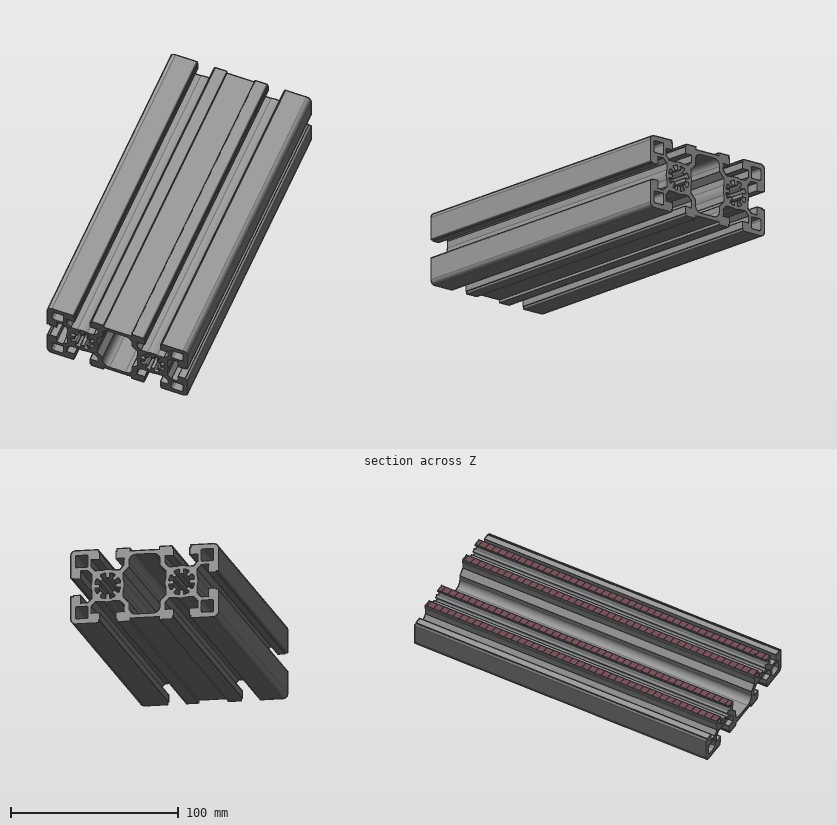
import cadquery as cq
import math

length = 200.0
height = 45.0
width = 2 * height
corner_radius = 3.0

half_cell = height / 2
cell_centers = (-half_cell, half_cell)

core_radius = 10.0
core_bulge = 0.5

mouth_half_width = 5.0
mouth_step_width = 0.5
mouth_step_depth = 1.5
mouth_radius = 0.5
lip_depth = 6.0
slot_half_width = 10.0
slot_floor = core_radius - core_bulge
strut_offset = 2.2

bore_radius = 8.0
tooth_tip_radius = 5.0
tooth_width = 2.2
tooth_tip_rounding = 0.2
tooth_root_rounding = 0.5
tooth_root_offset = 4.5

pocket_wall = 3.0
pocket_web = 2.0
pocket_size = half_cell - slot_half_width - pocket_wall - pocket_web
pocket_radius = 1.0

chamber_web = 3.0
chamber_half_width = half_cell - slot_half_width - chamber_web
chamber_half_height = 18.5
chamber_radius = 4.5
recess_half_width = 9.0
recess_depth = 1.8


def extrude_polygon(points):
    """Full-length prism with the given X-Z section, centred on Y = 0."""
    return cq.Workplane("XZ").polyline(points).close().extrude(length / 2, both=True)


def bar(size_x, size_z):
    return cq.Workplane("XY").box(size_x, length, size_z)


def rod(radius):
    return cq.Workplane("XZ").circle(radius).extrude(length / 2, both=True)


def turned(body, angle):
    """Body turned about the Y axis through the origin."""
    return body.rotate((0, 0, 0), (0, 1, 0), angle)


def make_slot():
    """T-slot opening toward +Z of a cell centred on the origin."""
    lip_bottom = half_cell - lip_depth
    step_half_width = mouth_half_width + mouth_step_width
    step_bottom = half_cell - mouth_step_depth
    half_outline = [
        (step_half_width, half_cell),
        (step_half_width, step_bottom),
        (mouth_half_width, step_bottom),
        (mouth_half_width, lip_bottom),
        (slot_half_width, lip_bottom),
        (slot_half_width, slot_half_width + strut_offset),
        (slot_floor - strut_offset, slot_floor),
    ]
    mirrored = [(-x, z) for x, z in reversed(half_outline)]
    slot = extrude_polygon(half_outline + mirrored).cut(rod(core_radius))
    rim_half_width = step_half_width + mouth_radius
    flare = bar(2 * rim_half_width, mouth_radius).translate((0, 0, half_cell - mouth_radius / 2))
    for side in (-1, 1):
        rim = rod(mouth_radius).translate((side * rim_half_width, 0, half_cell - mouth_radius))
        flare = flare.cut(rim)
    return slot.union(flare)


def make_bore():
    """Round bore with four straight teeth and four diagonal teeth left standing."""
    tooth_reach = bore_radius - tooth_tip_radius
    tooth_middle = (bore_radius + tooth_tip_radius) / 2
    tooth = bar(tooth_width, tooth_reach).translate((0, 0, tooth_middle))
    root = bar(bore_radius, bore_radius)
    root_shift = tooth_root_offset + bore_radius / 2
    root = root.translate((root_shift, 0, root_shift))
    bore = rod(bore_radius)
    for quarter in range(4):
        angle = 90 * quarter
        bore = bore.cut(turned(tooth, angle))
        bore = bore.cut(turned(tooth, angle + 45))
        bore = bore.cut(turned(root, angle))
    root_edges = bore.edges("|Y").filter(
        lambda edge: math.hypot(edge.Center().x, edge.Center().z) > tooth_middle
    )
    bore = root_edges.fillet(tooth_root_rounding)
    tip_edges = bore.edges("|Y").filter(
        lambda edge: math.hypot(edge.Center().x, edge.Center().z) < tooth_middle
    )
    return tip_edges.fillet(tooth_tip_rounding)


def make_chamber():
    """Chamber between the cells, widened between the struts of the two cells."""
    tall_part = bar(2 * chamber_half_width, 2 * chamber_half_height)
    tall_part = tall_part.edges("|Y").fillet(chamber_radius)
    core_wall = half_cell - slot_floor
    strut_top = half_cell - chamber_half_width - strut_offset
    strut_bottom = slot_floor - strut_offset
    wide_part = extrude_polygon([
        (chamber_half_width, strut_top),
        (core_wall, strut_bottom),
        (core_wall, -strut_bottom),
        (chamber_half_width, -strut_top),
        (-chamber_half_width, -strut_top),
        (-core_wall, -strut_bottom),
        (-core_wall, strut_bottom),
        (-chamber_half_width, strut_top),
    ])
    chamber = tall_part.union(wide_part)
    for center in cell_centers:
        chamber = chamber.cut(rod(core_radius).translate((center, 0, 0)))
    return chamber


result = bar(width, height).edges("|Y").fillet(corner_radius)

slot = make_slot()
bore = make_bore()
for center in cell_centers:
    outward = math.copysign(90, center)
    for angle in (0, 180, outward):
        result = result.cut(turned(slot, angle).translate((center, 0, 0)))
    result = result.cut(bore.translate((center, 0, 0)))

pocket = bar(pocket_size, pocket_size).edges("|Y").fillet(pocket_radius)
pocket_inset = pocket_wall + pocket_size / 2
for side_x in (-1, 1):
    for side_z in (-1, 1):
        pocket_x = side_x * (width / 2 - pocket_inset)
        pocket_z = side_z * (height / 2 - pocket_inset)
        result = result.cut(pocket.translate((pocket_x, 0, pocket_z)))

result = result.cut(make_chamber())
recess = bar(2 * recess_half_width, 2 * recess_depth)
for side_z in (-1, 1):
    result = result.cut(recess.translate((0, 0, side_z * height / 2)))